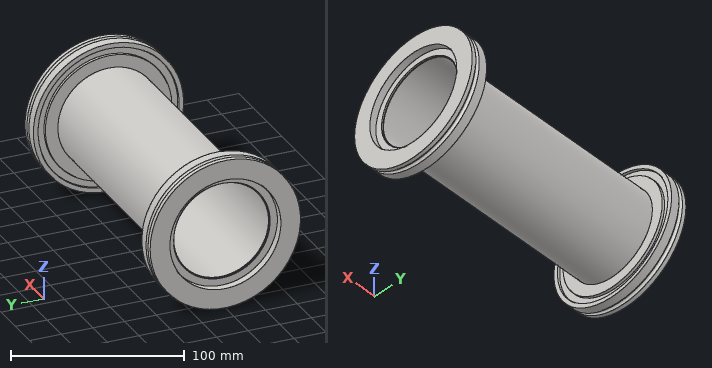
import cadquery as cq

LENGTH = 176.0
FLANGE_RADIUS = 47.5
FLANGE_THICKNESS = 12.0

TUBE_OUTER_RADIUS = 32.0
TUBE_INNER_RADIUS = 30.0

RECESS_RADIUS = 35.0
RECESS_DEPTH = 5.0
LIP_RADIUS = 30.5
LIP_THICKNESS = 1.0

RIM_GROOVE_START = 3.0
RIM_GROOVE_WIDTH = 2.8
RIM_GROOVE_DEPTH = 1.4

CLAMP_GROOVE_INNER_RADIUS = 40.0
CLAMP_GROOVE_OUTER_RADIUS = 44.5
CLAMP_GROOVE_DEPTH = 2.0

TUBE_SETBACK = RECESS_DEPTH + LIP_THICKNESS


def disc(start, thickness, radius):
    """Disc along +X, beginning at the given X."""
    return cq.Workplane("YZ", origin=(start, 0, 0)).circle(radius).extrude(thickness)


def rim_groove():
    """Ring of material removed from the rim, with an arc profile."""
    start = RIM_GROOVE_START
    end = start + RIM_GROOVE_WIDTH
    return (
        cq.Workplane("XY")
        .moveTo(start, FLANGE_RADIUS)
        .threePointArc(((start + end) / 2, FLANGE_RADIUS - RIM_GROOVE_DEPTH), (end, FLANGE_RADIUS))
        .close()
        .revolve(360, (0, 0, 0), (1, 0, 0))
    )


def clamp_groove():
    """Annular groove sunk into the inner face."""
    start = FLANGE_THICKNESS - CLAMP_GROOVE_DEPTH
    outer = disc(start, CLAMP_GROOVE_DEPTH, CLAMP_GROOVE_OUTER_RADIUS)
    return outer.cut(disc(start, CLAMP_GROOVE_DEPTH, CLAMP_GROOVE_INNER_RADIUS))


def make_flange():
    """Flange with its outer face at X = 0 and its inner face toward +X."""
    socket_depth = FLANGE_THICKNESS - TUBE_SETBACK
    return (
        disc(0, FLANGE_THICKNESS, FLANGE_RADIUS)
        .cut(disc(0, RECESS_DEPTH, RECESS_RADIUS))
        .cut(disc(RECESS_DEPTH, LIP_THICKNESS, LIP_RADIUS))
        .cut(disc(TUBE_SETBACK, socket_depth, TUBE_OUTER_RADIUS))
        .cut(rim_groove())
        .cut(clamp_groove())
    )


def make_tube():
    """Plain tube seated against the lips of both flanges."""
    tube_length = LENGTH - 2 * TUBE_SETBACK
    start = -tube_length / 2
    return disc(start, tube_length, TUBE_OUTER_RADIUS).cut(disc(start, tube_length, TUBE_INNER_RADIUS))


flanges = [
    make_flange().translate((-LENGTH / 2, 0, 0)).rotate((0, 0, 0), (0, 0, 1), angle)
    for angle in (0, 180)
]
tube = make_tube()

result = cq.Compound.makeCompound([tube.val(), *[flange.val() for flange in flanges]])